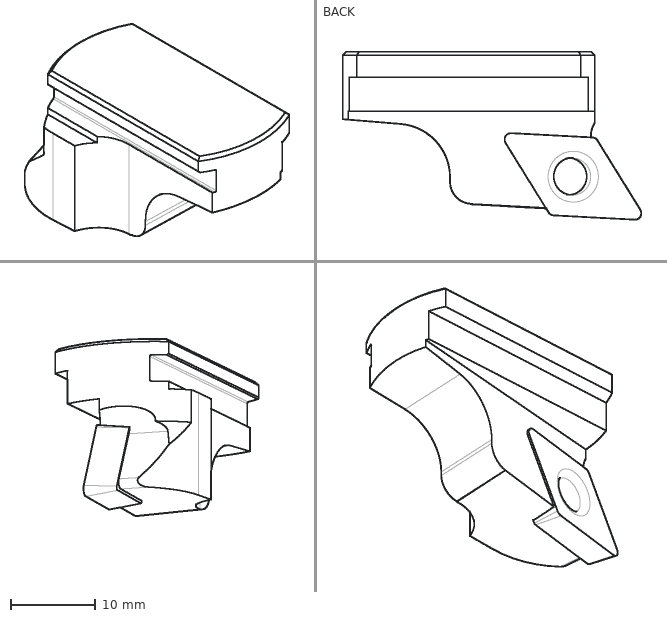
import cadquery as cq
import math


head_radius = 15.0
back_y = 6.9
front_y = -7.75
top_chamfer = 0.43
flange_height = 3.02
back_wall_y = 4.85
slot_wall_y = -5.75
slot_top = -2.05
slot_bottom = -5.25
slot_edge_break = 0.18

shank_front_y = -6.2
boss_front_y = -10.1
boss_top = -6.18
boss_left_x = -9.55
boss_right_x = -5.83
boss_nose_radius = 11.85
boss_root_x = -0.65
flare_top = -10.13
flare_angle = 35.0

relief_x = 2.25
relief_end_z = -8.03
relief_line_x = 8.05
relief_line_z = -8.6
relief_corner_z = -14.92
heel_diameter = 5.25

tilt = 8.0
chip_face_edge_y = 0.35
chip_face_top = -7.07
edge_rise = 3.0
heel_z = -18.1
nose_fillet = 0.7
nose_face_angle = 57.2
nose_face_bottom_u = -20.0
nose_face_top_z = -11.55
cove_radius = 2.85

tip_angle = 55.0
inscribed_diameter = 9.52
insert_thickness = 3.98
insert_clearance = 7.0
insert_nose_radius = 0.78
insert_center_u = -12.47
insert_center_z = -14.8
insert_proud = 0.3
screw_hole_diameter = 4.4
hole_mouth_diameter = 6.05

reach = 42.65
base_z = -24.87

tilt_rad = math.radians(tilt)
u_direction = cq.Vector(math.cos(tilt_rad), math.sin(tilt_rad), 0)
into_part = cq.Vector(math.sin(tilt_rad), -math.cos(tilt_rad), 0)
chip_face_origin = cq.Vector(0, chip_face_edge_y + head_radius * math.tan(tilt_rad), 0)
nose_face_rad = math.radians(nose_face_angle)
heel_x = relief_x - heel_diameter / 2 * (1 - math.sin(math.radians(edge_rise)))
heel_center_z = heel_z + heel_diameter / 2 * math.cos(math.radians(edge_rise))


def tilted_plane(height=0.0):
    """Plane parallel to the chip face, with local x along the face and local y along Z."""
    return cq.Workplane(cq.Plane(chip_face_origin - into_part * height, u_direction, into_part))


def block(x_min, x_max, y_min, y_max, z_min, z_max):
    size = (x_max - x_min, y_max - y_min, z_max - z_min)
    return cq.Workplane("XY").box(*size, centered=False).translate((x_min, y_min, z_min))


def full_width(y_min, y_max, z_min, z_max):
    return block(-reach, reach, y_min, y_max, z_min, z_max)


def make_head():
    """Round-ended block, chamfered on top, with the front slot and the rear step."""
    head = cq.Workplane("XY").circle(head_radius).extrude(boss_top)
    head = head.intersect(full_width(front_y, back_y, boss_top, 0))
    head = head.faces(">Z").edges().chamfer(top_chamfer)
    slot = full_width(-reach, slot_wall_y, slot_bottom, slot_top)
    slot = slot.faces(">Y").edges("|X").fillet(slot_edge_break)
    head = head.cut(slot)
    slot_lip = cq.selectors.NearestToPointSelector((0, front_y, slot_top))
    head = head.edges(slot_lip).chamfer(slot_edge_break)
    head = head.cut(full_width(back_wall_y, reach, boss_top, -flange_height))
    return head.cut(full_width(-reach, shank_front_y, boss_top, slot_bottom))


def make_shank():
    """Plan outline of the front boss, its concave root and the rear wall, extruded downwards."""
    nose_center_y = boss_front_y + boss_nose_radius
    nose_left_x = boss_left_x - boss_nose_radius
    outline = (
        cq.Workplane("XY", origin=(0, 0, base_z))
        .moveTo(nose_left_x, back_wall_y)
        .lineTo(head_radius, back_wall_y)
        .lineTo(head_radius, shank_front_y)
        .lineTo(boss_root_x, shank_front_y)
        .tangentArcPoint((boss_right_x, boss_front_y), relative=False)
        .lineTo(boss_left_x, boss_front_y)
        .tangentArcPoint((nose_left_x, nose_center_y), relative=False)
        .close()
    )
    shank = outline.extrude(slot_bottom - base_z)
    shank = shank.cut(full_width(-reach, front_y, boss_top, 0))
    return shank.intersect(make_flared_envelope()).intersect(make_nose_envelope())


def make_flared_envelope():
    """Round-end cylinder that widens as a cone below the flare line."""
    base_radius = head_radius + (flare_top - base_z) * math.tan(math.radians(flare_angle))
    return (
        cq.Workplane("XZ")
        .lineTo(head_radius, 0)
        .lineTo(head_radius, flare_top)
        .lineTo(base_radius, base_z)
        .lineTo(0, base_z)
        .close()
        .revolve(360, (0, 0, 0), (0, 1, 0))
    )


def make_nose_envelope():
    """Side outline of the nose: bottom face, sloping face and the cove above it."""
    slope = math.tan(math.radians(edge_rise))
    bottom_left_z = heel_z + slope * (nose_face_bottom_u - heel_x)
    bottom_right_z = heel_z + slope * (reach - heel_x)
    nose_face_top_u = nose_face_bottom_u + (nose_face_top_z - bottom_left_z) / math.tan(nose_face_rad)
    cove_u = nose_face_top_u - cove_radius * math.sin(nose_face_rad)
    cove_z = nose_face_top_z + cove_radius * math.cos(nose_face_rad)
    envelope = (
        tilted_plane(reach)
        .moveTo(reach, bottom_right_z)
        .lineTo(nose_face_bottom_u, bottom_left_z)
        .lineTo(nose_face_top_u, nose_face_top_z)
        .tangentArcPoint((cove_u, cove_z + cove_radius), relative=False)
        .lineTo(-reach, cove_z + cove_radius)
        .lineTo(-reach, 0)
        .lineTo(reach, 0)
        .close()
        .extrude(2 * reach)
    )
    corner = tilted_plane().center(nose_face_bottom_u, bottom_left_z).plane.origin
    return envelope.edges(cq.selectors.NearestToPointSelector(corner.toTuple())).fillet(nose_fillet)


def make_relief():
    """Cutter for the S-shaped underside of the right-hand end."""
    return (
        cq.Workplane("XZ", origin=(0, reach, 0))
        .moveTo(head_radius, relief_end_z)
        .lineTo(relief_line_x, relief_line_z)
        .tangentArcPoint((relief_x, relief_corner_z), relative=False)
        .lineTo(relief_x, heel_center_z)
        .tangentArcPoint((heel_x, heel_z), relative=False)
        .lineTo(heel_x, base_z)
        .lineTo(reach, base_z)
        .lineTo(reach, relief_end_z)
        .close()
        .extrude(2 * reach)
    )


def make_chip_space():
    """Cutter that leaves the tilted chip face below the head."""
    return (
        tilted_plane()
        .moveTo(-reach, base_z)
        .lineTo(reach, base_z)
        .lineTo(reach, chip_face_top)
        .lineTo(-reach, chip_face_top)
        .close()
        .extrude(-reach)
    )


def make_insert_blank():
    """Rhombic plate, narrowing away from its cutting face, with rounded corners."""
    half_tip = math.radians(tip_angle / 2)
    side = inscribed_diameter / math.sin(math.radians(tip_angle))
    half_long = side * math.cos(half_tip)
    half_short = side * math.sin(half_tip)
    corners = [(-half_long, 0), (0, -half_short), (half_long, 0), (0, half_short), (-half_long, 0)]
    outline = cq.Sketch().polygon(corners).vertices().fillet(insert_nose_radius)
    return (
        tilted_plane(insert_proud)
        .center(insert_center_u, insert_center_z)
        .transformed(rotate=(0, 0, edge_rise + tip_angle / 2))
        .placeSketch(outline)
        .extrude(insert_thickness, taper=insert_clearance)
    )


def make_insert(blank):
    """Insert with its screw hole, rounded at the mouth to seat the screw head."""
    hole = tilted_plane(insert_proud).center(insert_center_u, insert_center_z)
    bored = blank.cut(hole.circle(screw_hole_diameter / 2).extrude(insert_thickness))
    mouth_radius = (hole_mouth_diameter - screw_hole_diameter) / 2
    mouth = bored.faces(cq.DirectionMinMaxSelector(into_part, False)).edges("%CIRCLE")
    mouth = mouth.edges(cq.selectors.RadiusNthSelector(-1))
    return mouth.fillet(mouth_radius)


blank = make_insert_blank()
holder = make_head().union(make_shank())
holder = holder.cut(make_relief()).cut(make_chip_space()).cut(blank)
insert = make_insert(blank)

result = cq.Compound.makeCompound([holder.val(), insert.val()])